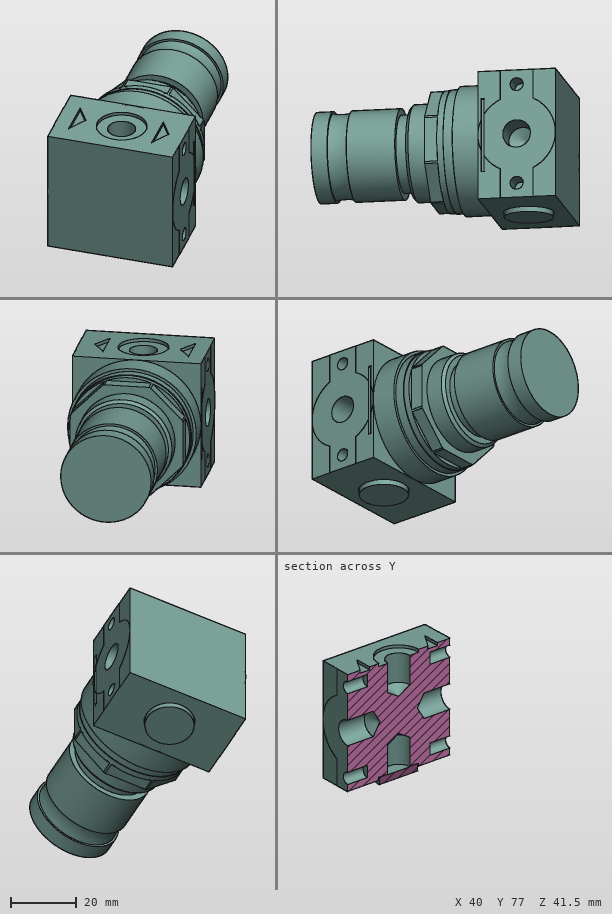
import cadquery as cq
import math

overall_length = 77.0
block_depth = 24.0
block_height = 40.0
pad_height = 0.1
block_width = block_height - 2 * pad_height
block_front_y = -block_depth / 2
block_back_y = block_depth / 2
knob_end_y = block_front_y + overall_length

flange_diameter, flange_length = 39.9, 8.0
step_diameter, step_length = 38.0, 3.0
wrench_diameter, wrench_ring_length = 37.6, 2.0
wrench_flat_count, wrench_across_flats, wrench_length = 8, 34.95, 4.0
collar_diameter, collar_length, collar_chamfer = 30.0, 6.55, 0.9
neck_diameter, neck_length = 24.0, 3.4

flange_end_y = block_back_y + flange_length
step_end_y = flange_end_y + step_length
wrench_start_y = step_end_y + wrench_ring_length
collar_start_y = wrench_start_y + wrench_length
neck_start_y = collar_start_y + collar_length
knob_start_y = neck_start_y + neck_length

knob_diameter = 28.0
rim_length = 5.0
groove_width = 5.9
groove_edge_depth = 0.7
groove_middle_depth = 1.0

port_diameter, port_depth = 8.55, 10.0
drill_tip_angle = 118.0
counterbore_diameter, counterbore_depth = 15.5, 1.0

pad_strip_width = 10.2
mount_hole_diameter, mount_hole_depth, mount_hole_offset = 4.0, 7.7, 15.5
slot_width, slot_length, slot_depth = 1.0, 22.9, 1.0
slot_y = 10.55

arrow_length, arrow_width, arrow_depth = 3.6, 12.0, 1.0
arrow_offset = 13.25

plug_diameter, plug_protrusion = 15.0, 1.55

SIDES = (-1, 1)


def rod(diameter, start_y, length):
    """Round bar on the regulator axis, running towards +Y."""
    return cq.Workplane("XZ", origin=(0, start_y, 0)).circle(diameter / 2).extrude(-length)


def side_plane(side, x):
    """Plane facing outwards along X, with local x along Y and local y along Z."""
    return cq.Workplane(cq.Plane(origin=(x * side, 0, 0), xDir=(0, 1, 0), normal=(side, 0, 0)))


def make_port(counterbored):
    """Cutting tool for a port that opens upwards at Z = 0."""
    radius = port_diameter / 2
    tip_depth = radius / math.tan(math.radians(drill_tip_angle / 2))
    port = (
        cq.Workplane("XZ")
        .polyline([(0, 0), (radius, 0), (radius, -port_depth), (0, -port_depth - tip_depth)])
        .close()
        .revolve(360, (0, 0), (0, 1))
    )
    if counterbored:
        counterbore = cq.Workplane("XY").circle(counterbore_diameter / 2).extrude(-counterbore_depth)
        port = port.translate((0, 0, -counterbore_depth)).union(counterbore)
    return port


def make_pad(side):
    """Thin raised pad on a side face: a disc as wide as the block is deep, crossed by a full-height strip."""
    base = side_plane(side, block_width / 2)
    strip = base.rect(pad_strip_width, block_height).extrude(pad_height)
    disc = base.circle(block_depth / 2).extrude(pad_height)
    return strip.union(disc)


def make_side_cuts(side):
    """Port, two mounting holes and a narrow slot on one side face."""
    face = side_plane(side, block_width / 2 + pad_height)
    port = (
        make_port(counterbored=False)
        .rotate((0, 0, 0), (0, 1, 0), 90 * side)
        .translate((side * (block_width / 2 + pad_height), 0, 0))
    )
    mount_holes = (
        face.pushPoints([(0, end * mount_hole_offset) for end in SIDES])
        .circle(mount_hole_diameter / 2)
        .extrude(-mount_hole_depth)
    )
    slot = face.center(slot_y, 0).rect(slot_width, slot_length).extrude(-slot_depth)
    return port.union(mount_holes).union(slot)


def make_arrow(center_x):
    """Triangular recess in the top face, pointing towards +X."""
    tail_x = center_x - arrow_length / 2
    tip_x = center_x + arrow_length / 2
    return (
        cq.Workplane("XY", origin=(0, 0, block_height / 2))
        .polyline([(tail_x, -arrow_width / 2), (tip_x, 0), (tail_x, arrow_width / 2)])
        .close()
        .extrude(-arrow_depth)
    )


def make_block():
    """Square block with ports on four faces."""
    block = cq.Workplane("XY").box(block_width, block_depth, block_height)
    for side in SIDES:
        block = block.union(make_pad(side)).cut(make_side_cuts(side))
    top_port = make_port(counterbored=True).translate((0, 0, block_height / 2))
    block = block.cut(top_port).cut(top_port.rotate((0, 0, 0), (0, 1, 0), 180))
    for side in SIDES:
        block = block.cut(make_arrow(side * arrow_offset))
    return block


def make_wrench_section(start_y):
    """Octagon with its corners turned down to the wrench diameter."""
    corner_diameter = wrench_across_flats / math.cos(math.pi / wrench_flat_count)
    octagon = (
        cq.Workplane("XZ", origin=(0, start_y, 0))
        .polygon(wrench_flat_count, corner_diameter)
        .extrude(-wrench_length)
        .rotate((0, 0, 0), (0, 1, 0), 180 / wrench_flat_count)
    )
    return octagon.intersect(rod(wrench_diameter, start_y, wrench_length))


def make_housing():
    """Block and bonnet in one piece, ending in the neck that carries the knob."""
    collar = rod(collar_diameter, collar_start_y, collar_length).faces(">Y").chamfer(collar_chamfer)
    return (
        make_block()
        .union(rod(flange_diameter, block_back_y, flange_length))
        .union(rod(step_diameter, flange_end_y, step_length))
        .union(rod(wrench_diameter, step_end_y, wrench_ring_length))
        .union(make_wrench_section(wrench_start_y))
        .union(collar)
        .union(rod(neck_diameter, neck_start_y, neck_length))
    )


def make_knob():
    """Round knob with a shallow concave groove in front of its rim."""
    radius = knob_diameter / 2
    groove_end_y = knob_end_y - rim_length
    groove_start_y = groove_end_y - groove_width
    groove_middle_y = (groove_start_y + groove_end_y) / 2
    edge_radius = radius - groove_edge_depth
    return (
        cq.Workplane("XY")
        .moveTo(0, knob_start_y)
        .lineTo(radius, knob_start_y)
        .lineTo(radius, groove_start_y)
        .lineTo(edge_radius, groove_start_y)
        .threePointArc((radius - groove_middle_depth, groove_middle_y), (edge_radius, groove_end_y))
        .lineTo(radius, groove_end_y)
        .lineTo(radius, knob_end_y)
        .lineTo(0, knob_end_y)
        .close()
        .revolve(360, (0, 0), (0, 1))
    )


def make_plug():
    """Disc seated on the floor of the bottom counterbore."""
    return (
        cq.Workplane("XY", origin=(0, 0, counterbore_depth - block_height / 2))
        .circle(plug_diameter / 2)
        .extrude(-counterbore_depth - plug_protrusion)
    )


housing = make_housing()
knob = make_knob()
plug = make_plug()

result = cq.Compound.makeCompound([housing.val(), knob.val(), plug.val()])